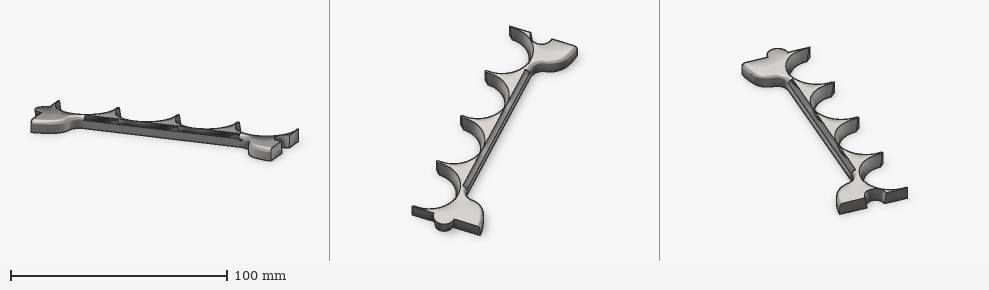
import cadquery as cq

thickness = 6.0
pitch = 30.0
scallop_count = 4
tip_y = 34.0
bar_y = 15.0
edge_round = 2.0
selection_margin = 0.1

scallop_y = 31.5
scallop_top_radius = 14.5
scallop_bottom_radius = 12.5

joint_y = 18.0
joint_taper = 0.9
pin_radius = 5.0
socket_radius = 5.2

foot_side = 15.0
foot_side_y = 9.9
foot_neck = 20.5
toe_width = 8.2
toe_y = 1.7
toe_bulge = 0.4

half_length = scallop_count * pitch / 2
scallop_centers = [-half_length + (i + 0.5) * pitch for i in range(scallop_count)]


def tapered_disc(x, y, bottom_radius, top_radius):
    """Full-height cone frustum standing on the bottom face."""
    return (
        cq.Workplane("XY").center(x, y).circle(bottom_radius)
        .workplane(offset=thickness).circle(top_radius).loft()
    )


def make_body():
    """Plate with pointed upper edge and a curved foot at each end."""
    notch_reach = pitch / 2 - (tip_y - scallop_y)
    neck_x = half_length - foot_neck
    side_x = half_length - foot_side
    toe_x = half_length - toe_width
    toe_middle = (half_length - toe_width / 2, toe_y / 2 - toe_bulge)

    outline = cq.Workplane("XY").moveTo(-half_length, tip_y)
    for x in scallop_centers:
        outline = (
            outline.lineTo(x - notch_reach, scallop_y)
            .lineTo(x + notch_reach, scallop_y)
            .lineTo(x + pitch / 2, tip_y)
        )
    outline = (
        outline.lineTo(half_length, 0)
        .threePointArc(toe_middle, (toe_x, toe_y))
        .tangentArcPoint((side_x, foot_side_y), relative=False)
        .tangentArcPoint((neck_x, bar_y), relative=False)
        .lineTo(-neck_x, bar_y)
        .tangentArcPoint((-side_x, foot_side_y), relative=False)
        .tangentArcPoint((-toe_x, toe_y), relative=False)
        .threePointArc((-toe_middle[0], toe_middle[1]), (-half_length, 0))
        .close()
    )
    return outline.extrude(thickness)


def round_lower_edge(body):
    """Round the top edge along the bar and both feet."""
    lower_edges = cq.selectors.BoxSelector(
        (-half_length - selection_margin, -selection_margin, thickness - selection_margin),
        (half_length + selection_margin, bar_y + selection_margin, thickness + selection_margin),
    )
    return body.edges(lower_edges).fillet(edge_round)


result = round_lower_edge(make_body())
for scallop_x in scallop_centers:
    result = result.cut(tapered_disc(scallop_x, scallop_y, scallop_bottom_radius, scallop_top_radius))
result = result.union(tapered_disc(-half_length, joint_y, pin_radius - joint_taper, pin_radius))
result = result.cut(tapered_disc(half_length, joint_y, socket_radius - joint_taper, socket_radius))